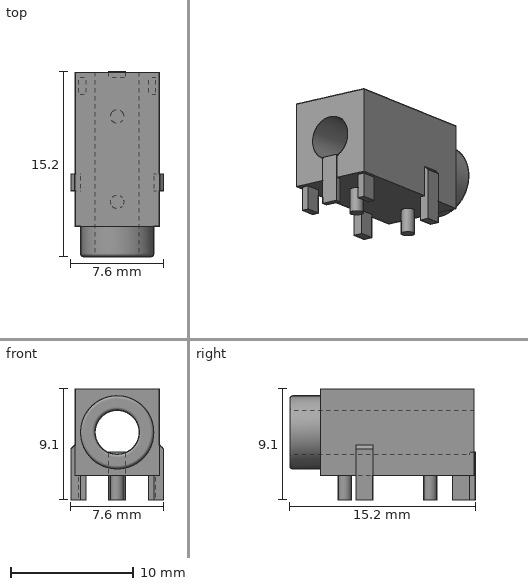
import cadquery as cq

body_width = 6.9
body_length = 12.6
body_height = 7.1
axis_height = body_height / 2

barrel_diameter = 6.0
barrel_length = 2.5
bore_diameter = 3.6
barrel_edge_radius = 0.25

leg_depth = 2.0

pin_diameter = 1.1
pin_positions_y = (2.0, 9.0)

terminal_width = 1.4
overall_width = 7.6
side_thickness = 0.8
side_center_y = 3.6
side_top = 2.5
side_chamfer = 0.3

rear_thickness = 0.5
rear_overhang = 0.1
rear_top = 1.95
rear_outer_y = body_length + rear_overhang
rear_inner_y = rear_outer_y - rear_thickness

inner_leg_inner_x = 2.55
inner_leg_thickness = 0.6
inner_leg_center_y = rear_inner_y - terminal_width / 2


def upright_block(size_x, size_y, center_x, center_y, top):
    """Block from the leg tips up to the given height."""
    return (
        cq.Workplane("XY", origin=(center_x, center_y, -leg_depth))
        .box(size_x, size_y, top + leg_depth, centered=(True, True, False))
    )


def y_cylinder(diameter, start_y, end_y):
    """Cylinder along the plug axis."""
    plane = cq.Plane(origin=(0, start_y, axis_height), xDir=(1, 0, 0), normal=(0, 1, 0))
    return cq.Workplane(plane).circle(diameter / 2).extrude(end_y - start_y)


def make_housing():
    """Box with the plug barrel, bored from end to end, barrel rim rounded."""
    box = (
        cq.Workplane("XY")
        .box(body_width, body_length, body_height, centered=(True, False, False))
    )
    barrel = y_cylinder(barrel_diameter, -barrel_length, body_length / 2)
    bore = y_cylinder(bore_diameter, -barrel_length, body_length)
    housing = box.union(barrel).cut(bore)
    return housing.faces("<Y").edges().fillet(barrel_edge_radius)


def make_pin(center_y):
    """Round locating pin hanging from the underside."""
    return (
        cq.Workplane("XY", origin=(0, center_y, 0))
        .circle(pin_diameter / 2)
        .extrude(-leg_depth)
    )


def make_side_terminal(side):
    """Terminal standing proud of a side wall, its outer top edge chamfered."""
    center_x = side * (overall_width - side_thickness) / 2
    outer_face = ">X" if side > 0 else "<X"
    block = upright_block(side_thickness, terminal_width, center_x, side_center_y, side_top)
    return block.faces(outer_face).edges(">Z").chamfer(side_chamfer)


def make_inner_leg(side):
    """Flat leg under the rear of the housing, set in from the side wall."""
    center_x = side * (inner_leg_inner_x + inner_leg_thickness / 2)
    return upright_block(inner_leg_thickness, terminal_width, center_x, inner_leg_center_y, 0)


def make_rear_terminal():
    """Terminal across the rear face, its top edge crossing the foot of the bore."""
    center_y = (rear_inner_y + rear_outer_y) / 2
    return upright_block(terminal_width, rear_thickness, 0, center_y, rear_top)


result = make_housing().union(make_rear_terminal())
for pin_y in pin_positions_y:
    result = result.union(make_pin(pin_y))
for side_sign in (-1, 1):
    result = result.union(make_side_terminal(side_sign))
    result = result.union(make_inner_leg(side_sign))